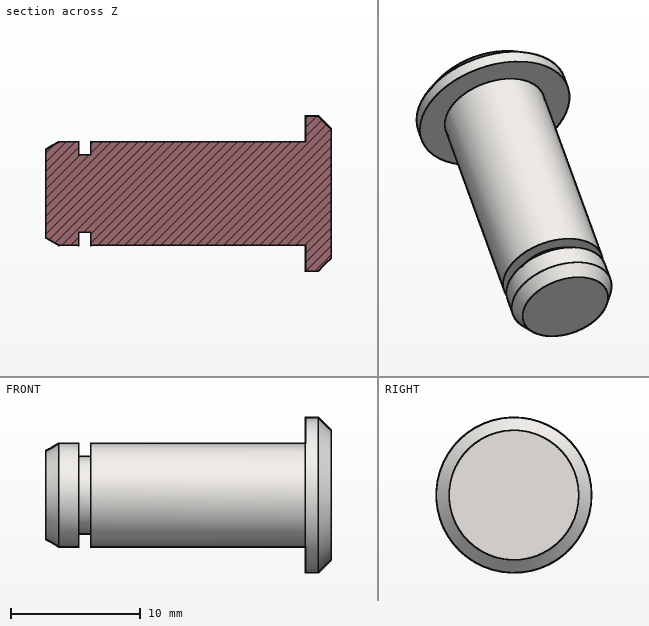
import cadquery as cq
import math

total_length = 22.0
shank_diameter = 8.0
head_diameter = 12.0
head_thickness = 2.0
head_chamfer = head_thickness / 2

tip_taper_length = 1.01
tip_taper_angle = 30.0
tip_taper_depth = tip_taper_length * math.tan(math.radians(tip_taper_angle))

groove_diameter = 6.0
groove_start = 2.55
groove_width = 0.9


def cylinder(start, length, diameter):
    """Solid cylinder on the X axis, running toward +X from start."""
    return cq.Workplane("YZ", origin=(start, 0, 0)).circle(diameter / 2).extrude(length)


def make_shank():
    """Plain shank with a tapered tip, reaching the underside of the head."""
    shank = cylinder(0, total_length - head_thickness, shank_diameter)
    radius = shank_diameter / 2
    taper_waste = (
        cq.Workplane("XY")
        .moveTo(0, radius - tip_taper_depth)
        .lineTo(tip_taper_length, radius)
        .lineTo(0, radius)
        .close()
        .revolve(360, (0, 0, 0), (1, 0, 0))
    )
    return shank.cut(taper_waste)


def make_head():
    """Flat head with its outer rim chamfered."""
    head = cylinder(total_length - head_thickness, head_thickness, head_diameter)
    return head.faces(">X").chamfer(head_chamfer)


def make_groove_ring():
    """Ring of material removed to form the groove."""
    outer = cylinder(groove_start, groove_width, shank_diameter)
    inner = cylinder(groove_start, groove_width, groove_diameter)
    return outer.cut(inner)


result = make_shank().union(make_head()).cut(make_groove_ring())